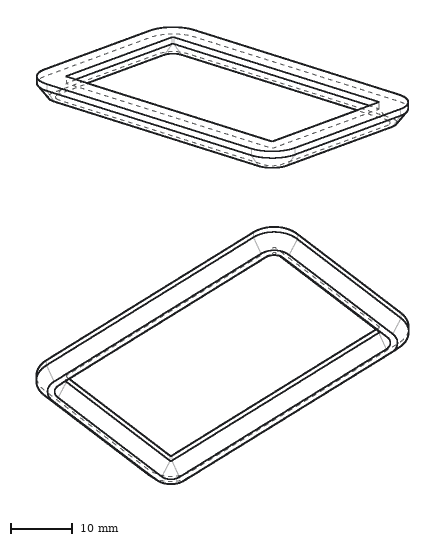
import cadquery as cq
import math

LENGTH = 55.1
WIDTH = 35.1
HEIGHT = 3.5
BAND_WIDTH = 4.8
OUTER_RADIUS = 5.0
LIP_HEIGHT = 1.15
BEVEL_INSET = 1.8

BEVEL_HEIGHT = HEIGHT - LIP_HEIGHT
BEVEL_ANGLE = math.degrees(math.atan2(BEVEL_INSET, BEVEL_HEIGHT))
INNER_RADIUS = OUTER_RADIUS - BAND_WIDTH


def rounded_rectangle(length, width, radius):
    """Rounded outline at the level where the upright walls meet the bevels."""
    outline = cq.Sketch().rect(length, width).vertices().fillet(radius)
    return cq.Workplane("XY").workplane(offset=BEVEL_HEIGHT).placeSketch(outline)


def bevelled_block(length, width, radius, taper):
    """Upright block on a tapered base; positive taper narrows it downward."""
    lip = rounded_rectangle(length, width, radius).extrude(LIP_HEIGHT)
    base = rounded_rectangle(length, width, radius).extrude(-BEVEL_HEIGHT, taper=taper)
    return lip.union(base)


outer_block = bevelled_block(LENGTH, WIDTH, OUTER_RADIUS, BEVEL_ANGLE)

opening = bevelled_block(
    LENGTH - 2 * BAND_WIDTH,
    WIDTH - 2 * BAND_WIDTH,
    INNER_RADIUS,
    -BEVEL_ANGLE,
)

result = outer_block.cut(opening)